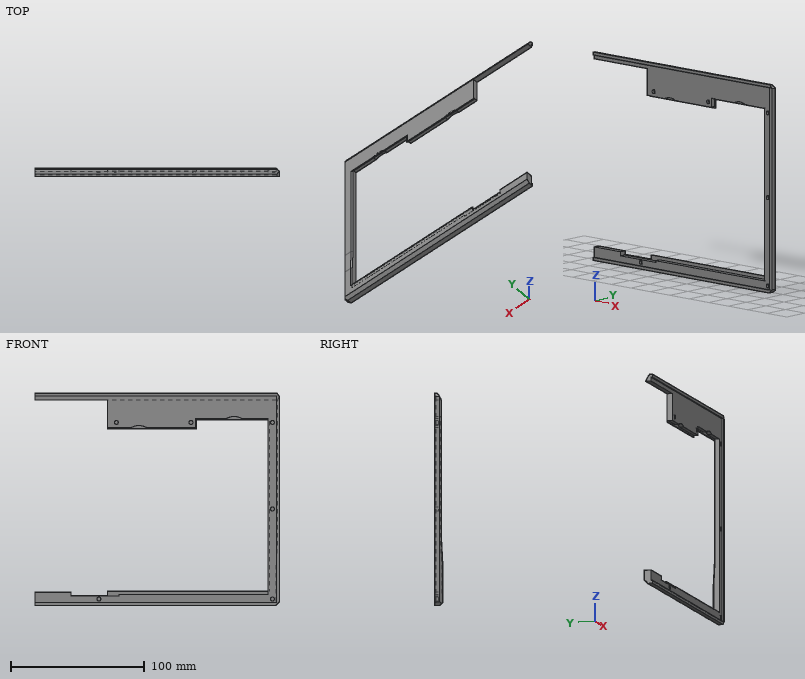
import cadquery as cq

length = 183.6
thickness = 6.33
height = 159.53

upper_thickness = 5.3
ramp_bottom = 30.0
ramp_top = 50.0
back_chamfer = 2.5
top_flat = 2.0
top_slope_mid_y = 3.4
top_slope_mid_drop = 1.7

rim_width = 2.3
recess_depth = 1.05

bottom_corner = 2.9
top_corner_x = 1.9
top_corner_z = 2.6
top_arm_height = 5.3
wall_width = 8.7
wall_inner = length - wall_width
top_arm_bottom = height - top_arm_height
panel_left = 54.4
panel_step = 121.1
panel_low = height - 26.9
panel_high = height - 20.1
arm_top = 10.9
arm_end_top = 10.2
notch_left = 27.2
notch_right = panel_left
notch_floor = 7.6

skin = 0.88
panel_ledge = 1.2
step_ledge = 0.6
ledge_end = 63.0
deep_ledge_z = 7.1
arm_ledge_z = 8.4
wall_bevel = 1.1

scallop_centers = ((78.0, panel_low), (149.5, panel_high))
scallop_width = 11.0
scallop_height = 1.4

hole_diameter = 2.9
hole_depth = 2.0
upper_hole_z = height - 22.0
lower_hole_z = 5.0
middle_hole_z = 72.6
wall_hole_x = length - 5.3
hole_places = (
    (61.1, upper_hole_z),
    (117.1, upper_hole_z),
    (wall_hole_x, upper_hole_z),
    (wall_hole_x, middle_hole_z),
    (wall_hole_x, lower_hole_z),
    (48.0, lower_hole_z),
)


def block(x0, x1, y0, y1, z0, z1):
    """Axis-aligned box between two opposite corners."""
    return cq.Workplane("XY").box(x1 - x0, y1 - y0, z1 - z0, centered=False).translate((x0, y0, z0))


def make_frame():
    """Open frame outline with both outer corners cut off."""
    outline = [
        (0, 0),
        (length - bottom_corner, 0),
        (length, bottom_corner),
        (length, height - top_corner_z),
        (length - top_corner_x, height),
        (0, height),
        (0, top_arm_bottom),
        (panel_left, top_arm_bottom),
        (panel_left, panel_low),
        (panel_step, panel_low),
        (panel_step, panel_high),
        (wall_inner, panel_high),
        (wall_inner, arm_top),
        (notch_right, arm_top),
        (notch_right, notch_floor),
        (notch_left, notch_floor),
        (notch_left, arm_end_top),
        (0, arm_end_top),
    ]
    return cq.Workplane("XZ").polyline(outline).close().extrude(-thickness)


def make_side_envelope():
    """Side profile along X: bottom chamfer, back ramp and sloped top."""
    profile = [
        (0, 0),
        (thickness - back_chamfer, 0),
        (thickness, back_chamfer),
        (thickness, ramp_bottom),
        (upper_thickness, ramp_top),
        (upper_thickness, top_arm_bottom),
        (top_slope_mid_y, height - top_slope_mid_drop),
        (top_flat, height),
        (0, height),
    ]
    return cq.Workplane("YZ").polyline(profile).close().extrude(length)


def cut_right_back_chamfer(part):
    """Bevel along the back of the outer right edge."""
    bevel = (
        cq.Workplane("XY")
        .polyline([
            (length, thickness - back_chamfer),
            (length, thickness),
            (length - back_chamfer, thickness),
        ])
        .close()
        .extrude(height)
    )
    return part.cut(bevel)


def cut_front_recess(part):
    """Lower the front face everywhere inside the outer rim."""
    return part.cut(
        block(0, length - rim_width, 0, recess_depth, rim_width, height - rim_width)
    )


def cut_panel_ledges(part):
    """Leave only the back skin along the panel's lower edges."""
    skin_front = upper_thickness - skin
    low_top = panel_low + panel_ledge
    high_top = panel_high + panel_ledge
    step_x = panel_step - step_ledge
    part = part.cut(block(panel_left, panel_step, 0, skin_front, panel_low, low_top))
    part = part.cut(block(step_x, panel_step, 0, skin_front, panel_low, high_top))
    part = part.cut(block(step_x, wall_inner, 0, skin_front, panel_high, high_top))
    for center_x, edge_z in scallop_centers:
        base_z = edge_z + panel_ledge
        scallop = (
            cq.Workplane("XZ")
            .moveTo(center_x - scallop_width / 2, base_z)
            .threePointArc(
                (center_x, base_z + scallop_height),
                (center_x + scallop_width / 2, base_z),
            )
            .close()
            .extrude(-skin_front)
        )
        part = part.cut(scallop)
    return part


def cut_arm_ledges(part):
    """Leave only the back skin along the top of the lower arm."""
    skin_front = thickness - skin
    part = part.cut(block(notch_left, ledge_end, 0, skin_front, deep_ledge_z, arm_top))
    return part.cut(block(ledge_end, wall_inner, 0, skin_front, arm_ledge_z, arm_top))


def bevel_section(back):
    """Triangle removed by the wall bevel where the back lies at this depth."""
    return [(wall_inner, back - skin), (wall_inner + wall_bevel, back), (wall_inner, back)]


def cut_wall_bevel(part):
    """Bevel the inner back edge of the right wall, following the ramp."""
    stations = (
        (arm_top, thickness),
        (ramp_bottom, thickness),
        (ramp_top, upper_thickness),
        (panel_high, upper_thickness),
    )
    for (z0, back0), (z1, back1) in zip(stations, stations[1:]):
        wedge = cq.Workplane("XY", origin=(0, 0, z0))
        wedge = wedge.polyline(bevel_section(back0)).close()
        wedge = wedge.workplane(offset=z1 - z0).polyline(bevel_section(back1)).close()
        part = part.cut(wedge.loft(ruled=True))
    return part


def cut_holes(part):
    """Blind screw holes sunk from the recessed floor."""
    holes = (
        cq.Workplane("XZ", origin=(0, recess_depth, 0))
        .pushPoints(hole_places)
        .circle(hole_diameter / 2)
        .extrude(-hole_depth)
    )
    return part.cut(holes)


result = make_frame().intersect(make_side_envelope())
result = cut_right_back_chamfer(result)
result = cut_front_recess(result)
result = cut_panel_ledges(result)
result = cut_arm_ledges(result)
result = cut_wall_bevel(result)
result = cut_holes(result)